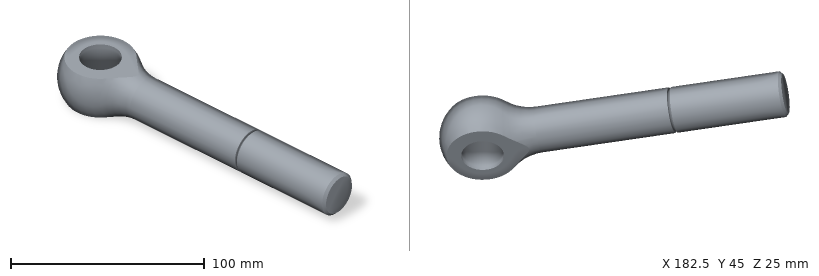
import cadquery as cq
import math

overall_length = 182.5
eye_radius = 22.5
eye_thickness = 25.0
bore_diameter = 22.0
shank_diameter = 23.9
neck_fillet_radius = 25.0
thread_length = 60.0
thread_chamfer = 1.5

shank_radius = shank_diameter / 2
shank_end = overall_length - eye_radius
thread_start = shank_end - thread_length

neck_center_radius = shank_radius + neck_fillet_radius
center_distance = eye_radius + neck_fillet_radius
neck_end = math.sqrt(center_distance**2 - neck_center_radius**2)
ball_share = eye_radius / center_distance
ball_tangent = (neck_end * ball_share, neck_center_radius * ball_share)

ball_direction = math.atan2(-neck_center_radius, -neck_end)
shank_direction = -math.pi / 2
middle_direction = (ball_direction + shank_direction) / 2
neck_middle = (
    neck_end + neck_fillet_radius * math.cos(middle_direction),
    neck_center_radius + neck_fillet_radius * math.sin(middle_direction),
)


def make_body():
    """Ball, blended neck and shank as one revolved profile."""
    return (
        cq.Workplane("XY")
        .moveTo(-eye_radius, 0)
        .threePointArc((0, eye_radius), ball_tangent)
        .threePointArc(neck_middle, (neck_end, shank_radius))
        .lineTo(shank_end - thread_chamfer, shank_radius)
        .lineTo(shank_end, shank_radius - thread_chamfer)
        .lineTo(shank_end, 0)
        .close()
        .revolve(360, (0, 0, 0), (1, 0, 0))
    )


def make_groove():
    """Ring with a square shoulder and a chamfer at the start of the threaded length."""
    return (
        cq.Workplane("XY")
        .moveTo(thread_start, shank_radius)
        .lineTo(thread_start, shank_radius - thread_chamfer)
        .lineTo(thread_start + thread_chamfer, shank_radius)
        .close()
        .revolve(360, (0, 0, 0), (1, 0, 0))
    )


flat_slab = cq.Workplane("XY").box(3 * overall_length, overall_length, eye_thickness)

bore = cq.Workplane("XY").circle(bore_diameter / 2).extrude(eye_thickness, both=True)

result = make_body().intersect(flat_slab).cut(bore).cut(make_groove())